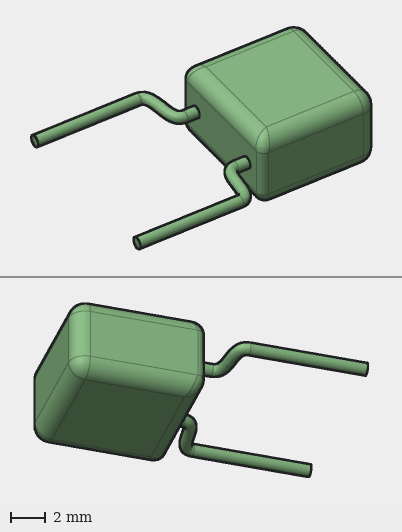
import cadquery as cq

HOUSING_WIDTH = 8.4
HOUSING_DEPTH = 7.95
HOUSING_HEIGHT = 5.08
EDGE_RADIUS = 1.0
FRONT_CORNER_RADIUS = 0.5

OVERALL_WIDTH = 11.63
OVERALL_LENGTH = 17.16
LEAD_DIAMETER = 0.75
ROOT_SPACING = 5.39
SHANK_LENGTH = 0.79
BEND_LENGTH = 1.4
BEND_HANDLE = 1.12

ROOT_X = ROOT_SPACING / 2
LEG_X = (OVERALL_WIDTH - LEAD_DIAMETER) / 2
BEND_START_Y = -SHANK_LENGTH
BEND_END_Y = BEND_START_Y - BEND_LENGTH
LEAD_END_Y = HOUSING_DEPTH - OVERALL_LENGTH


def make_housing():
    """Block with rounded edges; only the front upright edges are tighter."""
    block = cq.Workplane("XY").box(HOUSING_WIDTH, HOUSING_DEPTH, HOUSING_HEIGHT)
    block = block.translate((0, HOUSING_DEPTH / 2, 0))
    block = block.edges("|Z and <Y").fillet(FRONT_CORNER_RADIUS)
    block = block.edges("|Z and >Y").fillet(EDGE_RADIUS)
    return block.faces("<Z or >Z").edges().fillet(EDGE_RADIUS)


def make_lead(side):
    """Bent wire on one side of the housing: side is -1 for -X, 1 for +X."""
    root_x = side * ROOT_X
    leg_x = side * LEG_X
    bend_points = [
        (root_x, BEND_START_Y),
        (root_x, BEND_START_Y - BEND_HANDLE),
        (leg_x, BEND_END_Y + BEND_HANDLE),
        (leg_x, BEND_END_Y),
    ]
    path = (
        cq.Workplane("XY")
        .moveTo(root_x, 0)
        .lineTo(root_x, BEND_START_Y)
        .bezier(bend_points)
        .lineTo(leg_x, LEAD_END_Y)
    )
    section = cq.Workplane("XZ").center(root_x, 0).circle(LEAD_DIAMETER / 2)
    return section.sweep(path)


housing = make_housing()
leads = [make_lead(side) for side in (-1, 1)]

result = cq.Compound.makeCompound([housing.val(), *[lead.val() for lead in leads]])